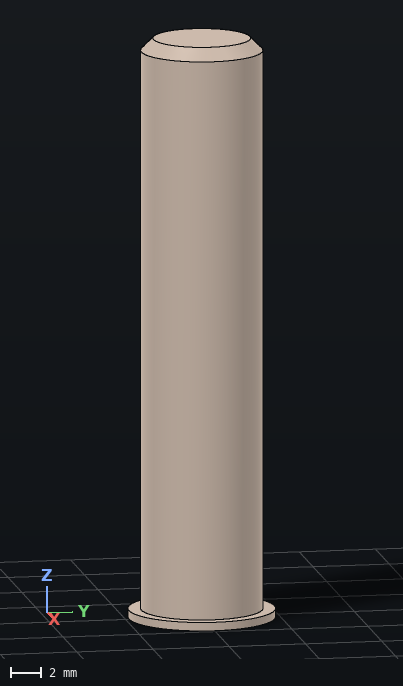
import cadquery as cq

total_height = 38.1
pin_diameter = 7.92
flange_diameter = 9.55
flange_thickness = 0.57
tip_chamfer = 0.8

flange = cq.Workplane("XY").circle(flange_diameter / 2).extrude(flange_thickness)

pin = (
    cq.Workplane("XY")
    .circle(pin_diameter / 2)
    .extrude(total_height)
    .faces(">Z")
    .chamfer(tip_chamfer)
)

result = flange.union(pin)